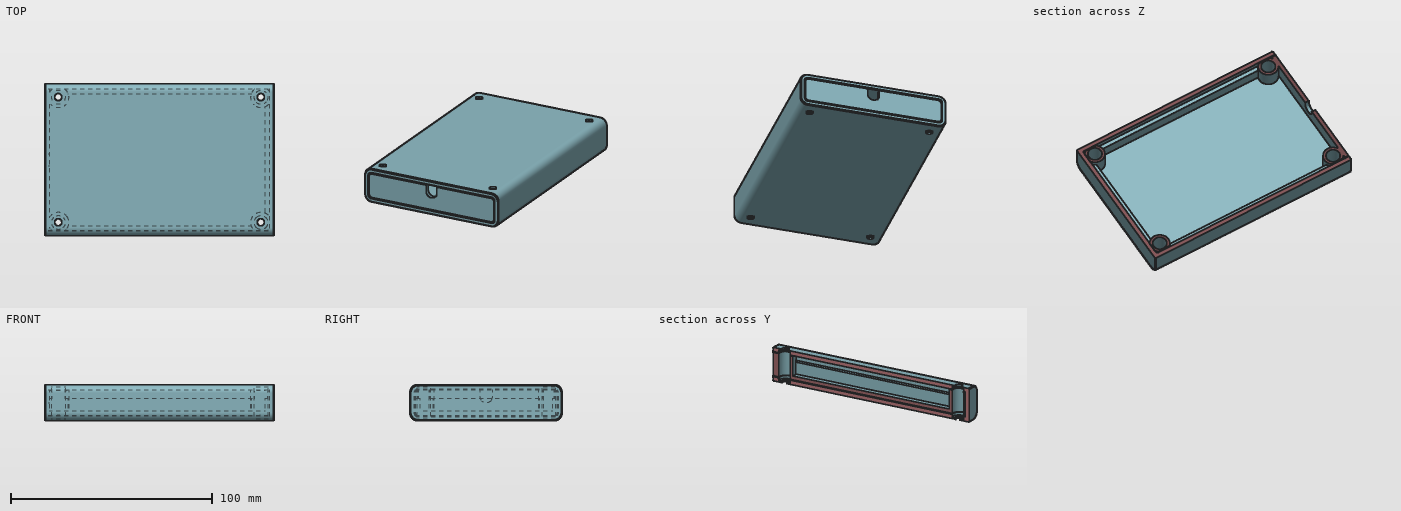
import cadquery as cq


LENGTH = 113.9
WIDTH = 75.5
HEIGHT = 18.0
CORNER_RADIUS = 4.0
WALL = 2.5
RIM_CHAMFER = 0.5

HOLE_DIAMETER = 3.4
HOLE_INSET = 6.7
COUNTERBORE_DIAMETER = 6.8
COUNTERBORE_SKIN = 1.0
HOLE_SPACING_X = LENGTH - 2 * HOLE_INSET
HOLE_SPACING_Y = WIDTH - 2 * HOLE_INSET

CLEARANCE = 0.2
TRAY_WALL = 2.3
RIM_Z = 2.3
COLUMN_DIAMETER = 10.3
TRAY_INSET = WALL + CLEARANCE
TRAY_LENGTH = LENGTH - WALL
TRAY_WIDTH = WIDTH - 2 * TRAY_INSET
TRAY_TOP = HEIGHT / 2 - TRAY_INSET
FLOOR_Z = -TRAY_TOP + TRAY_WALL

NOTCH_WIDTH = 6.0
NOTCH_CENTRE_Z = 3.1

FRONT_X = -LENGTH / 2


def rounded_bar(length, inset):
    """Bar along +X from the front end, its section set in evenly from the sleeve's outline."""
    return (
        cq.Workplane("YZ", origin=(FRONT_X, 0, 0))
        .rect(WIDTH - 2 * inset, HEIGHT - 2 * inset)
        .extrude(length)
        .edges("|X")
        .fillet(CORNER_RADIUS - inset)
    )


def corner_cylinders(diameter, height):
    """Four upright cylinders on the screw-hole pattern, centred on Z = 0."""
    return (
        cq.Workplane("XY")
        .rect(HOLE_SPACING_X, HOLE_SPACING_Y, forConstruction=True)
        .vertices()
        .circle(diameter / 2)
        .extrude(height / 2, both=True)
    )


def make_sleeve():
    shell = rounded_bar(LENGTH, 0).cut(rounded_bar(TRAY_LENGTH, WALL))
    shell = shell.faces("<X or >X").edges().chamfer(RIM_CHAMFER)
    holes = corner_cylinders(HOLE_DIAMETER, HEIGHT)
    counterbores = corner_cylinders(COUNTERBORE_DIAMETER, HEIGHT - 2 * COUNTERBORE_SKIN)
    return shell.cut(holes).cut(counterbores)


def cable_notch():
    """U-shaped cutter, open at the top, through the front wall only."""
    radius = NOTCH_WIDTH / 2
    return (
        cq.Workplane("YZ", origin=(FRONT_X, 0, 0))
        .moveTo(-radius, TRAY_TOP)
        .lineTo(-radius, NOTCH_CENTRE_Z)
        .threePointArc((0, NOTCH_CENTRE_Z - radius), (radius, NOTCH_CENTRE_Z))
        .lineTo(radius, TRAY_TOP)
        .close()
        .extrude(TRAY_WALL)
    )


def inner_block(length, width, bottom_z):
    """Block from the inside of the tray's front wall along +X, and from bottom_z up to the tray's top."""
    return (
        cq.Workplane("XY", origin=(FRONT_X + TRAY_WALL, 0, bottom_z))
        .box(length, width, TRAY_TOP - bottom_z, centered=(False, True, False))
    )


def make_tray():
    block = rounded_bar(TRAY_LENGTH, TRAY_INSET)
    above_rim = inner_block(TRAY_LENGTH - TRAY_WALL, TRAY_WIDTH, RIM_Z)
    pocket = inner_block(TRAY_LENGTH - 2 * TRAY_WALL, TRAY_WIDTH - 2 * TRAY_WALL, FLOOR_Z)
    columns = block.intersect(corner_cylinders(COLUMN_DIAMETER, HEIGHT))
    bores = corner_cylinders(COUNTERBORE_DIAMETER, HEIGHT)
    return block.cut(above_rim).cut(pocket).cut(cable_notch()).union(columns).cut(bores)


sleeve = make_sleeve()
tray = make_tray()

result = cq.Compound.makeCompound([sleeve.solids().val(), tray.solids().val()])